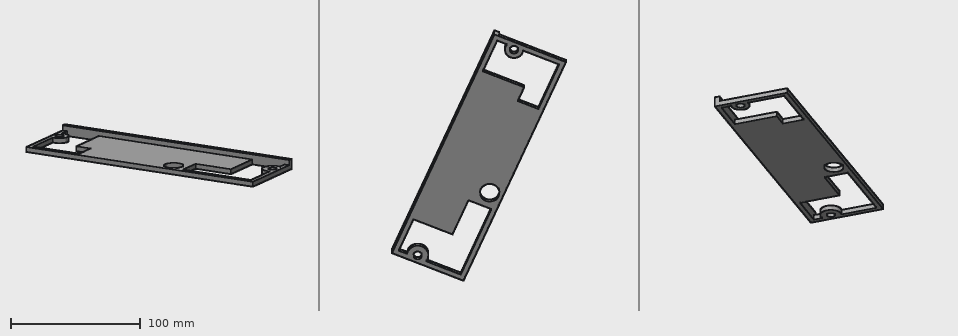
import cadquery as cq

length = 202.0
width = 60.0
height = 8.0

plate_thickness = 4.0
wall = 4.0

left_window_rear_end = 32.3
left_window_front_end = 45.0
left_step_y = 21.2
right_window_rear_start = length - 33.0
right_window_front_start = length - 64.5
right_step_y = 23.2

lug_inset = 6.0
lug_y = 41.0
left_lug_diameter = 14.1
right_lug_diameter = 16.5
screw_hole_diameter = 6.5

panel_hole_x = length - 76.8
panel_hole_y = 10.7
panel_hole_diameter = 15.0


def block(x_size, y_size, z_size):
    """Box with one corner at the origin."""
    return cq.Workplane("XY").box(x_size, y_size, z_size, centered=False)


def disc(x, y, diameter):
    """Cylinder through the plate thickness."""
    return cq.Workplane("XY").center(x, y).circle(diameter / 2).extrude(plate_thickness)


def stepped_window(outer_x, front_x, rear_x, step_y):
    """L-shaped cutter from the end wall to the panel edge, with a step in that edge."""
    outline = [
        (outer_x, wall),
        (front_x, wall),
        (front_x, step_y),
        (rear_x, step_y),
        (rear_x, width - wall),
        (outer_x, width - wall),
    ]
    return cq.Workplane("XY").polyline(outline).close().extrude(plate_thickness)


plate = block(length, width, plate_thickness)
plate = plate.cut(stepped_window(wall, left_window_front_end, left_window_rear_end, left_step_y))
plate = plate.cut(
    stepped_window(length - wall, right_window_front_start, right_window_rear_start, right_step_y)
)

rail = block(length, wall, height).translate((0, width - wall, 0))
result = plate.union(rail)

envelope = block(length, width, height)
lugs = [(lug_inset, left_lug_diameter), (length - lug_inset, right_lug_diameter)]
for lug_x, lug_diameter in lugs:
    result = result.union(disc(lug_x, lug_y, lug_diameter).intersect(envelope))
    result = result.cut(disc(lug_x, lug_y, screw_hole_diameter))

result = result.cut(disc(panel_hole_x, panel_hole_y, panel_hole_diameter))